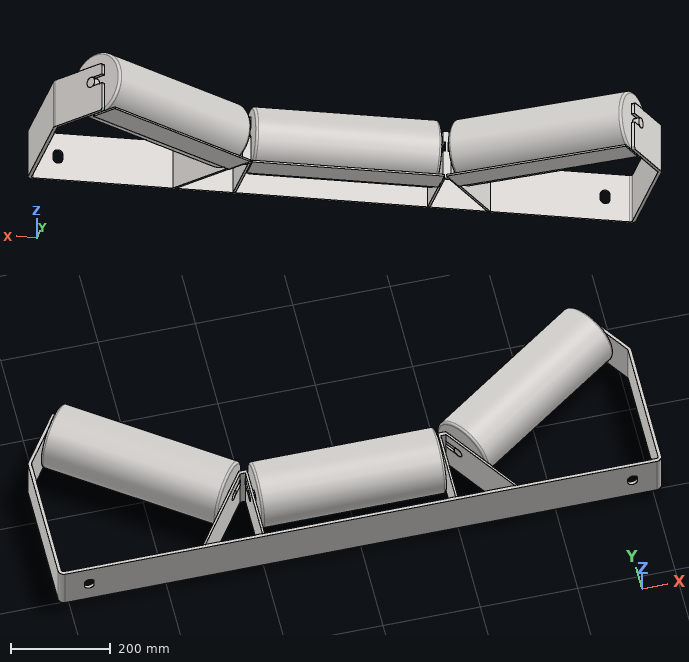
import cadquery as cq
import math

roller_diameter = 135.0
roller_length = 380.0
roller_edge_radius = 5.0
shaft_diameter = 21.0
trough_angle = 35.0
middle_roller_y = 124.0
side_roller_x = 394.0
side_roller_y = 248.0
end_gap = 6.0

strip_thickness = 4.0
strip_width = 60.0

plate_height = 100.0
frame_width = 1240.0
frame_thickness = 7.0
frame_bend_radius = 12.0
frame_tip_reach = 31.0
frame_tip_corner_radius = 5.0
bracket_thickness = 5.0
bracket_top_y = 166.0
slot_width = 19.0

mount_slot_x = 558.0
mount_slot_width = 20.0
mount_slot_height = 29.0

axis_height = strip_thickness + roller_diameter / 2
plate_bottom = strip_thickness
plate_middle = plate_bottom + plate_height / 2
half_roller = roller_length / 2
support_distance = half_roller + end_gap
frame_face = support_distance + frame_thickness
bracket_face = support_distance + bracket_thickness
half_width = frame_width / 2
cos_trough = math.cos(math.radians(trough_angle))
sin_trough = math.sin(math.radians(trough_angle))


def side_point(along, across):
    """Plan point at distances along the left roller's axis (inward) and across it (rearward)."""
    return (
        -side_roller_x + along * cos_trough + across * sin_trough,
        side_roller_y - along * sin_trough + across * cos_trough,
    )


def side_point_at_x(along, x):
    """Plan point with the given x on the line square to the left roller's axis."""
    across = (x + side_roller_x - along * cos_trough) / sin_trough
    return side_point(along, across)


def side_point_at_y(along, y):
    """Plan point with the given y on the line square to the left roller's axis."""
    across = (y - side_roller_y + along * sin_trough) / cos_trough
    return side_point(along, across)


def place_middle(body):
    return body.translate((0, middle_roller_y, 0))


def place_left(body):
    turned = body.rotate((0, 0, 0), (0, 0, 1), -trough_angle)
    return turned.translate((-side_roller_x, side_roller_y, 0))


def mirrored(body):
    return body.mirror("YZ")


def upright_plate(outline):
    return cq.Workplane("XY", origin=(0, 0, plate_bottom)).polyline(outline).close().extrude(plate_height)


def axial_cylinder(diameter, start, end):
    return cq.Workplane("YZ", origin=(start, 0, axis_height)).circle(diameter / 2).extrude(end - start)


def roller(left_end, right_end):
    """Roller along X with its fixed shaft running from left_end to right_end."""
    tube = axial_cylinder(roller_diameter, -half_roller, half_roller)
    tube = tube.edges().fillet(roller_edge_radius)
    return tube.union(axial_cylinder(shaft_diameter, left_end, right_end))


def strip():
    """Flat strip below the rear half of a roller, between its two supports."""
    return cq.Workplane("XY").box(
        2 * support_distance, strip_width, strip_thickness, centered=(True, False, False)
    )


def shaft_slot(start, end):
    """Cutter for a round shaft seat with a narrower slot that opens rearward."""
    slot = cq.Workplane("XY", origin=(start, 0, axis_height)).box(
        end - start, roller_diameter / 2, slot_width, centered=(False, False, True)
    )
    return slot.union(axial_cylinder(shaft_diameter, start, end))


def frame():
    """Bent flat bar: straight front, two sides and two tilted tips; built as a mirrored half."""
    inner_x = -half_width + frame_thickness
    front_outer = (-half_width, 0)
    front_inner = (inner_x, frame_thickness)
    rear_outer = side_point_at_x(-frame_face, -half_width)
    rear_inner = side_point_at_x(-support_distance, inner_x)
    tip_outer = side_point(-frame_face, frame_tip_reach)
    tip_inner = side_point(-support_distance, frame_tip_reach)
    half = upright_plate([
        (0, 0), front_outer, rear_outer, tip_outer,
        tip_inner, rear_inner, front_inner, (0, frame_thickness),
    ])

    inner_radius = frame_bend_radius - frame_thickness
    bends = [
        (front_outer, frame_bend_radius),
        (rear_outer, frame_bend_radius),
        (front_inner, inner_radius),
        (rear_inner, inner_radius),
    ]
    for (x, y), radius in bends:
        half = half.edges(cq.NearestToPointSelector((x, y, plate_middle))).fillet(radius)

    tip_x, tip_y = side_point(-support_distance - frame_thickness / 2, frame_tip_reach)
    for z in (plate_bottom, plate_bottom + plate_height):
        half = half.edges(cq.NearestToPointSelector((tip_x, tip_y, z))).fillet(frame_tip_corner_radius)

    half = half.cut(place_left(shaft_slot(-frame_face, -support_distance)))
    mount_slot = (
        cq.Workplane("XZ", origin=(-mount_slot_x, 0, plate_middle))
        .slot2D(mount_slot_height, mount_slot_width, 90)
        .extrude(-frame_thickness)
    )
    half = half.cut(mount_slot)
    return half.union(mirrored(half))


def left_bracket():
    """V-shaped bracket: a tilted plate and a straight plate that meet at the rear."""
    tilted_plate = upright_plate([
        side_point_at_y(support_distance, frame_thickness),
        side_point_at_y(support_distance, bracket_top_y),
        side_point_at_y(bracket_face, bracket_top_y),
        side_point_at_y(bracket_face, frame_thickness),
    ])
    straight_plate = upright_plate([
        (-bracket_face, frame_thickness),
        (-bracket_face, bracket_top_y),
        (-support_distance, bracket_top_y),
        (-support_distance, frame_thickness),
    ])
    web = upright_plate([
        side_point_at_y(support_distance, bracket_top_y),
        (-support_distance, bracket_top_y),
        (-support_distance, bracket_top_y - frame_thickness),
        side_point_at_y(support_distance, bracket_top_y - frame_thickness),
    ])
    bracket = tilted_plate.union(straight_plate).union(web)
    bracket = bracket.cut(place_left(shaft_slot(support_distance, bracket_face)))
    return bracket.cut(place_middle(shaft_slot(-bracket_face, -support_distance)))


bent_frame = frame()
bracket = left_bracket()
side_roller = place_left(roller(-frame_face, bracket_face))
middle_roller = place_middle(roller(-bracket_face, bracket_face))
side_strip = place_left(strip())
middle_strip = place_middle(strip())

bodies = [bent_frame.val(), middle_roller.val(), middle_strip.val()]
for side_body in (bracket, side_roller, side_strip):
    bodies += [side_body.val(), mirrored(side_body).val()]

result = cq.Compound.makeCompound(bodies)